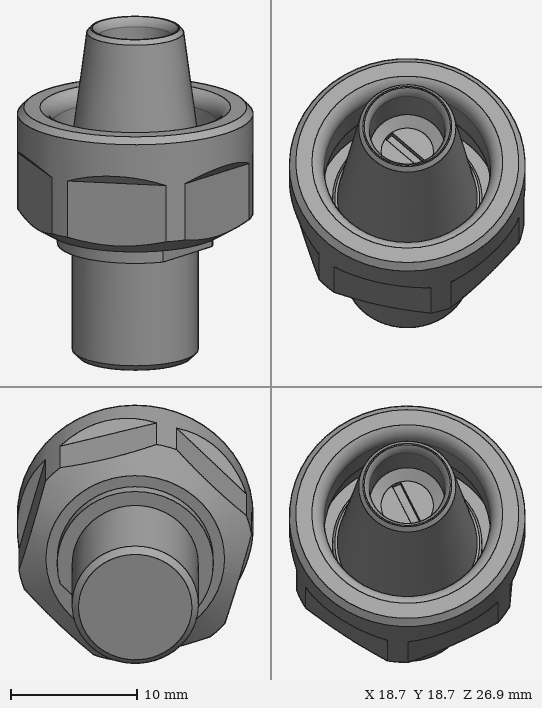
import cadquery as cq
import math

total_height = 26.9
nut_top = 20.4
nut_bottom = 10.45
collar_bottom = 17.25
flats_top = 16.44
corner_bottom = 11.8
clip_top = 10.3
clip_bottom = 9.25
cup_floor = 12.37
undercut_start = 16.17
undercut_end = 14.63
shoulder_top = 13.85
cone_top = 26.55

nut_radius = 18.7 / 2
across_flats = 16.95
top_chamfer = 0.5
nut_base_radius = 7.07
mouth_radius = 13.18 / 2
mouth_rounding = 1.35
mouth_rim_radius = 7.55
undercut_radius = 14.5 / 2

shank_radius = 10.0 / 2
shank_chamfer = 0.5
clip_radius = 6.2
clip_flat_offset = 5.4

shoulder_radius = 11.85 / 2
shoulder_chamfer = 0.2
cone_base_radius = 5.55
cone_top_radius = 3.85
tip_radius = 3.52
bore_radius = 6.0 / 2
lip_radius = 3.42
lip_bottom = 26.17
lip_bulge = 0.05
seat_top = 22.85
seat_slope = 30.0
bore_floor_radius = 4.15 / 2
bore_floor = seat_top - (bore_radius - bore_floor_radius) * math.tan(math.radians(seat_slope))
slot_width = 0.75
slot_depth = 0.55


def revolve(profile):
    """Turn a closed (radius, height) profile about the Z axis."""
    return profile.close().revolve(360, (0, 0, 0), (0, 1, 0))


def make_nut():
    body = revolve(
        cq.Workplane("XZ")
        .moveTo(0, nut_bottom)
        .lineTo(nut_base_radius, nut_bottom)
        .lineTo(nut_radius, corner_bottom)
        .lineTo(nut_radius, nut_top - top_chamfer)
        .lineTo(nut_radius - top_chamfer, nut_top)
        .lineTo(0, nut_top)
    )
    flat = across_flats / 2
    flat_cutter = (
        cq.Workplane("XZ")
        .moveTo(flat, nut_bottom)
        .lineTo(flat, flats_top)
        .lineTo(nut_radius, collar_bottom)
        .lineTo(2 * nut_radius, collar_bottom)
        .lineTo(2 * nut_radius, nut_bottom)
        .close()
        .extrude(nut_radius, both=True)
    )
    for side in range(6):
        body = body.cut(flat_cutter.rotate((0, 0, 0), (0, 0, 1), 60 * side))

    arc_center = mouth_radius + mouth_rounding
    rim_angle = math.acos((arc_center - mouth_rim_radius) / mouth_rounding)
    arc_start = nut_top - mouth_rounding * math.sin(rim_angle)
    arc_middle = (
        arc_center - mouth_rounding * math.cos(rim_angle / 2),
        arc_start + mouth_rounding * math.sin(rim_angle / 2),
    )
    cavity = revolve(
        cq.Workplane("XZ")
        .moveTo(0, cup_floor)
        .lineTo(undercut_radius, cup_floor)
        .lineTo(undercut_radius, undercut_end)
        .lineTo(mouth_radius, undercut_start)
        .lineTo(mouth_radius, arc_start)
        .threePointArc(arc_middle, (mouth_rim_radius, nut_top))
        .lineTo(0, nut_top)
    )
    return body.cut(cavity)


def make_shank():
    return revolve(
        cq.Workplane("XZ")
        .lineTo(shank_radius - shank_chamfer, 0)
        .lineTo(shank_radius, shank_chamfer)
        .lineTo(shank_radius, cup_floor)
        .lineTo(0, cup_floor)
    )


def make_clip():
    clip = (
        cq.Workplane("XY")
        .workplane(offset=clip_bottom)
        .circle(clip_radius)
        .extrude(clip_top - clip_bottom)
    )
    flat_cutter = cq.Workplane("XY").box(
        clip_radius, 2 * clip_radius, total_height, centered=(False, True, False)
    )
    return clip.cut(flat_cutter.translate((clip_flat_offset, 0, 0)))


def make_cone():
    cone = revolve(
        cq.Workplane("XZ")
        .moveTo(0, cup_floor)
        .lineTo(shoulder_radius, cup_floor)
        .lineTo(shoulder_radius, shoulder_top - shoulder_chamfer)
        .lineTo(shoulder_radius - shoulder_chamfer, shoulder_top)
        .lineTo(cone_base_radius, shoulder_top)
        .lineTo(cone_top_radius, cone_top)
        .lineTo(tip_radius, total_height)
        .lineTo(0, total_height)
    )
    lip_middle = (
        (lip_radius + bore_radius) / 2 - lip_bulge,
        (total_height + lip_bottom) / 2 + lip_bulge,
    )
    bore = revolve(
        cq.Workplane("XZ")
        .moveTo(0, bore_floor)
        .lineTo(bore_floor_radius, bore_floor)
        .lineTo(bore_radius, seat_top)
        .lineTo(bore_radius, lip_bottom)
        .threePointArc(lip_middle, (lip_radius, total_height))
        .lineTo(0, total_height)
    )
    slot = (
        cq.Workplane("XY")
        .workplane(offset=bore_floor - slot_depth)
        .circle(bore_floor_radius)
        .extrude(slot_depth)
        .intersect(cq.Workplane("XY").box(2 * bore_floor_radius, slot_width, 2 * total_height))
    )
    return cone.cut(bore).cut(slot)


result = make_nut().union(make_shank()).union(make_clip()).union(make_cone())